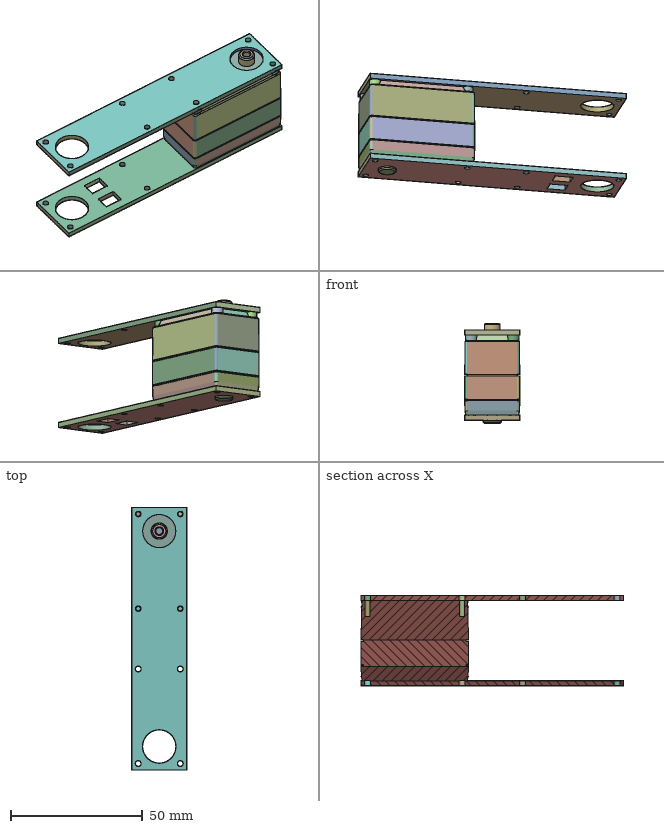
import cadquery as cq
import math

PLATE_WIDTH = 21.0
PLATE_LENGTH = 100.0
PLATE_THICKNESS = 2.0
UPPER_PLATE_Z = 32.5
BIG_HOLE_DIAMETER = 12.6
JOINT_SPACING = 82.0
JOINT_Y = JOINT_SPACING / 2
SCREW_HOLE_DIAMETER = 2.1
SCREW_HOLE_X = 8.0
SCREW_HOLE_YS = (-47.5, -11.5, 11.5, 47.5)
WINDOW_WIDTH = 5.2
WINDOW_LENGTH = 7.0
WINDOW_X = 4.5
WINDOW_Y = -26.5

CASE_WIDTH = PLATE_WIDTH
CASE_LENGTH = 41.0
CASE_Y = PLATE_LENGTH / 2 - CASE_LENGTH / 2
CORNER_RADIUS = 1.0
BOTTOM_SLOPE_HEIGHT = 1.6
BOTTOM_SLOPE_INSET = 0.4
BOTTOM_CASE_TOP_Z = 7.5
MIDDLE_CASE_TOP_Z = 17.0
GROOVE_HEIGHT = 0.5
GROOVE_DEPTH = 0.9
SHOULDER_Z = 30.5
SHOULDER_CHAMFER = 0.5
BOTTOM_DRAFT_ANGLE = 1.0
TOP_DRAFT_ANGLE = 0.5

DECK_SIDE_INSET = 0.6
DECK_END_INSET = 1.4
DECK_SLOPE_INSET = 0.8
POST_DIAMETER = 4.4
POST_HOLE_DIAMETER = 1.7
POST_HOLE_DEPTH = 6.0
BOSS_HEIGHT = 0.9
SHAFT_SEAT_DIAMETER = 6.2
SHAFT_SEAT_DEPTH = 2.0

SHAFT_DIAMETER = 6.0
SHAFT_TOP_Z = 37.0
SHAFT_CHAMFER = 0.5
SHAFT_BORE_DIAMETER = 2.6
SHAFT_BORE_MOUTH_DIAMETER = 3.3
SHAFT_BORE_MOUTH_ANGLE = 90.0
SHAFT_BORE_DEPTH = 2.5

HEAD_DIAMETER = 7.0
HEAD_HEIGHT = 1.1
HEAD_CHAMFER = 0.5

middle_case_bottom_z = BOTTOM_CASE_TOP_Z + GROOVE_HEIGHT
top_case_bottom_z = MIDDLE_CASE_TOP_Z + GROOVE_HEIGHT
deck_height = UPPER_PLATE_Z - SHOULDER_Z
boss_top_z = UPPER_PLATE_Z + BOSS_HEIGHT
shaft_bottom_z = boss_top_z - SHAFT_SEAT_DEPTH


def case_block(bottom_z, height, side_inset=0.0, end_inset=0.0, taper=0.0):
    """Round-cornered block on the case axis; a positive taper narrows it away from bottom_z."""
    section = cq.Sketch().rect(CASE_WIDTH - 2 * side_inset, CASE_LENGTH - 2 * end_inset)
    section = section.vertices().fillet(CORNER_RADIUS)
    return (
        cq.Workplane("XY", origin=(0, CASE_Y, bottom_z))
        .placeSketch(section)
        .extrude(height, taper=taper)
    )


def cylinders(points, diameter, bottom_z, top_z):
    """Equal upright cylinders at the given XY points."""
    return (
        cq.Workplane("XY", origin=(0, 0, bottom_z))
        .pushPoints(points)
        .circle(diameter / 2)
        .extrude(top_z - bottom_z)
    )


def taper_angle(inset, height):
    """Wall angle that draws a block in by inset over its height."""
    return math.degrees(math.atan2(inset, height))


def plate(bottom_z, big_hole_ys):
    """Arm plate with eight screw holes and the given large round holes."""
    top_z = bottom_z + PLATE_THICKNESS
    blank = (
        cq.Workplane("XY", origin=(0, 0, bottom_z))
        .rect(PLATE_WIDTH, PLATE_LENGTH)
        .extrude(PLATE_THICKNESS)
    )
    screw_points = [(side * SCREW_HOLE_X, y) for side in (-1, 1) for y in SCREW_HOLE_YS]
    screw_holes = cylinders(screw_points, SCREW_HOLE_DIAMETER, bottom_z, top_z)
    big_holes = cylinders([(0, y) for y in big_hole_ys], BIG_HOLE_DIAMETER, bottom_z, top_z)
    return blank.cut(screw_holes).cut(big_holes)


def make_upper_plate():
    return plate(UPPER_PLATE_Z, (-JOINT_Y, JOINT_Y))


def make_lower_plate():
    windows = (
        cq.Workplane("XY")
        .pushPoints([(side * WINDOW_X, WINDOW_Y) for side in (-1, 1)])
        .rect(WINDOW_WIDTH, WINDOW_LENGTH)
        .extrude(PLATE_THICKNESS)
    )
    return plate(0, (-JOINT_Y,)).cut(windows)


def make_bottom_case():
    """Lower cover: drafted wall, then a sloped skirt down to the lower plate."""
    wall_bottom_z = PLATE_THICKNESS + BOTTOM_SLOPE_HEIGHT
    wall_height = BOTTOM_CASE_TOP_Z - wall_bottom_z
    wall_inset = wall_height * math.tan(math.radians(BOTTOM_DRAFT_ANGLE))
    wall = case_block(BOTTOM_CASE_TOP_Z, -wall_height, taper=BOTTOM_DRAFT_ANGLE)
    skirt = case_block(
        wall_bottom_z,
        -BOTTOM_SLOPE_HEIGHT,
        side_inset=wall_inset,
        end_inset=wall_inset,
        taper=taper_angle(BOTTOM_SLOPE_INSET, BOTTOM_SLOPE_HEIGHT),
    )
    return wall.union(skirt)


def make_middle_case():
    """Straight block with an inset tongue above and below that leaves the seam grooves."""
    block = case_block(middle_case_bottom_z, MIDDLE_CASE_TOP_Z - middle_case_bottom_z)
    tongues = case_block(
        BOTTOM_CASE_TOP_Z,
        top_case_bottom_z - BOTTOM_CASE_TOP_Z,
        side_inset=GROOVE_DEPTH,
        end_inset=GROOVE_DEPTH,
    )
    return block.union(tongues)


def make_top_case():
    """Upper cover: drafted wall, chamfered shoulder, raised deck, drilled posts and seated boss."""
    wall = case_block(top_case_bottom_z, SHOULDER_Z - top_case_bottom_z, taper=TOP_DRAFT_ANGLE)
    wall = wall.faces(">Z").chamfer(SHOULDER_CHAMFER)
    deck = case_block(
        SHOULDER_Z,
        deck_height,
        side_inset=DECK_SIDE_INSET,
        end_inset=DECK_END_INSET,
        taper=taper_angle(DECK_SLOPE_INSET, deck_height),
    )
    post_points = [(side * SCREW_HOLE_X, y) for side in (-1, 1) for y in SCREW_HOLE_YS if y > 0]
    posts = cylinders(post_points, POST_DIAMETER, SHOULDER_Z, UPPER_PLATE_Z)
    post_holes = cylinders(post_points, POST_HOLE_DIAMETER, UPPER_PLATE_Z - POST_HOLE_DEPTH, UPPER_PLATE_Z)
    boss = cylinders([(0, JOINT_Y)], BIG_HOLE_DIAMETER, SHOULDER_Z, boss_top_z)
    shaft_seat = cylinders([(0, JOINT_Y)], SHAFT_SEAT_DIAMETER, shaft_bottom_z, boss_top_z)
    return wall.union(deck).union(posts).union(boss).cut(post_holes).cut(shaft_seat)


def make_shaft():
    """Output shaft standing in the boss seat with clearance around it, with a countersunk blind bore."""
    return (
        cq.Workplane("XY", origin=(0, JOINT_Y, shaft_bottom_z))
        .circle(SHAFT_DIAMETER / 2)
        .extrude(SHAFT_TOP_Z - shaft_bottom_z)
        .faces(">Z")
        .chamfer(SHAFT_CHAMFER)
        .faces(">Z")
        .workplane(origin=(0, JOINT_Y, 0))
        .cskHole(SHAFT_BORE_DIAMETER, SHAFT_BORE_MOUTH_DIAMETER, SHAFT_BORE_MOUTH_ANGLE, SHAFT_BORE_DEPTH)
    )


def make_screw_head():
    return (
        cq.Workplane("XY", origin=(0, JOINT_Y, -HEAD_HEIGHT))
        .circle(HEAD_DIAMETER / 2)
        .extrude(HEAD_HEIGHT)
        .faces("<Z")
        .chamfer(HEAD_CHAMFER)
    )


upper_plate = make_upper_plate()
lower_plate = make_lower_plate()
bottom_case = make_bottom_case()
middle_case = make_middle_case()
top_case = make_top_case()
shaft = make_shaft()
screw_head = make_screw_head()

result = cq.Compound.makeCompound(
    [
        upper_plate.val(),
        lower_plate.val(),
        bottom_case.val(),
        middle_case.val(),
        top_case.val(),
        shaft.val(),
        screw_head.val(),
    ]
)